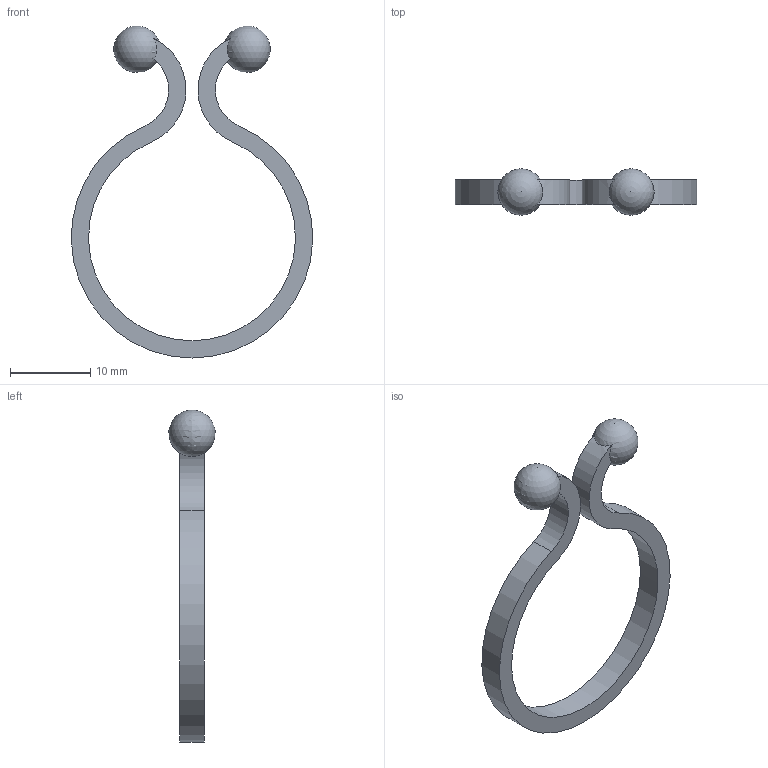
import cadquery as cq
import math

ring_outer_radius = 15.05
strip_thickness = 2.15
strip_width = 3.1
hook_inner_radius = 4.93
hook_gap = 1.5
ball_radius = 2.9
ball_offset_x = 6.85
overall_height = 41.38

ring_inner_radius = ring_outer_radius - strip_thickness
hook_outer_radius = hook_inner_radius + strip_thickness
ball_center_z = overall_height - ring_outer_radius - ball_radius

hook_center_x = hook_gap / 2 + hook_outer_radius
hook_center_distance = ring_outer_radius + hook_inner_radius
hook_center_z = math.sqrt(hook_center_distance**2 - hook_center_x**2)

joint_angle = math.atan2(hook_center_z, hook_center_x)
hook_start_angle = joint_angle + math.pi
hook_end_angle = math.atan2(ball_center_z - hook_center_z, ball_offset_x - hook_center_x)
hook_middle_angle = (hook_start_angle + hook_end_angle) / 2


def ring_point(radius, angle):
    return (radius * math.cos(angle), radius * math.sin(angle))


def hook_point(radius, angle):
    x, z = ring_point(radius, angle)
    return (hook_center_x + x, hook_center_z + z)


def mirrored(point):
    return (-point[0], point[1])


def make_strip():
    """Open ring and both hooks as one bent strip, centred on Y = 0."""
    bottom_angle = -math.pi / 2
    outer_joint = ring_point(ring_outer_radius, joint_angle)
    inner_joint = ring_point(ring_inner_radius, joint_angle)
    hook_inner_middle = hook_point(hook_inner_radius, hook_middle_angle)
    hook_inner_end = hook_point(hook_inner_radius, hook_end_angle)
    hook_outer_middle = hook_point(hook_outer_radius, hook_middle_angle)
    hook_outer_end = hook_point(hook_outer_radius, hook_end_angle)
    return (
        cq.Workplane("XZ")
        .moveTo(*mirrored(hook_inner_end))
        .threePointArc(mirrored(hook_inner_middle), mirrored(outer_joint))
        .threePointArc(ring_point(ring_outer_radius, bottom_angle), outer_joint)
        .threePointArc(hook_inner_middle, hook_inner_end)
        .lineTo(*hook_outer_end)
        .threePointArc(hook_outer_middle, inner_joint)
        .threePointArc(ring_point(ring_inner_radius, bottom_angle), mirrored(inner_joint))
        .threePointArc(mirrored(hook_outer_middle), mirrored(hook_outer_end))
        .close()
        .extrude(strip_width / 2, both=True)
    )


def make_ball(center_x):
    """Ball that caps the end of one hook."""
    return cq.Workplane("XY").sphere(ball_radius).translate((center_x, 0, ball_center_z))


result = make_strip()
for side in (-1, 1):
    result = result.union(make_ball(side * ball_offset_x))